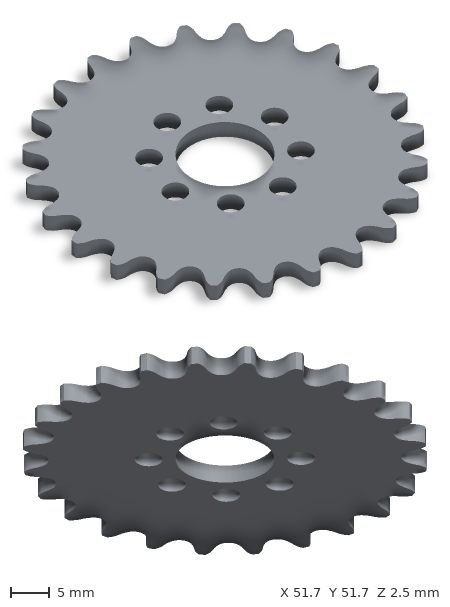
import cadquery as cq
import math

outer_size = 51.7
thickness = 2.5
tooth_count = 24

root_radius = 22.65
seat_radius = 1.7
seat_half_angle = math.radians(51.5)
working_radius = 4.25
working_angle = math.radians(19.6)
tip_arc_radius = 2.7

bore_diameter = 12.7
mount_hole_count = 8
mount_hole_diameter = 3.55
mount_circle_diameter = 19.55

tooth_angle = 2 * math.pi / tooth_count


def polar(radius, angle, center=(0, 0)):
    return (center[0] + radius * math.cos(angle), center[1] + radius * math.sin(angle))


def rotated(point, angle):
    return polar(math.hypot(*point), math.atan2(point[1], point[0]) + angle)


def mirrored(point):
    return (point[0], -point[1])


seat_contact = math.pi - seat_half_angle
working_contact = seat_contact - working_angle

seat_bottom = (root_radius, 0)
seat_center = (root_radius + seat_radius, 0)
seat_end = polar(seat_radius, seat_contact, seat_center)

working_center = polar(seat_radius - working_radius, seat_contact, seat_center)
working_middle = polar(working_radius, seat_contact - working_angle / 2, working_center)
working_end = polar(working_radius, working_contact, working_center)

tip_center = polar(tip_arc_radius, working_contact, working_end)
tip_arc_start = working_contact + math.pi
tip_arc_end = 2 * math.pi - math.acos((outer_size / 2 - tip_center[0]) / tip_arc_radius)
tip_arc_middle = polar(tip_arc_radius, (tip_arc_start + tip_arc_end) / 2, tip_center)
tip_corner = polar(tip_arc_radius, tip_arc_end, tip_center)
tip_radius = math.hypot(*tip_corner)


def make_toothed_plate():
    profile = cq.Workplane("XY").moveTo(*mirrored(seat_end))
    for index in range(tooth_count):
        valley = index * tooth_angle
        next_valley = valley + tooth_angle
        profile = (
            profile.threePointArc(rotated(seat_bottom, valley), rotated(seat_end, valley))
            .threePointArc(rotated(working_middle, valley), rotated(working_end, valley))
            .threePointArc(rotated(tip_arc_middle, valley), rotated(tip_corner, valley))
            .threePointArc(
                polar(tip_radius, valley + tooth_angle / 2),
                rotated(mirrored(tip_corner), next_valley),
            )
        )
        profile = (
            profile.threePointArc(
                rotated(mirrored(tip_arc_middle), next_valley),
                rotated(mirrored(working_end), next_valley),
            )
            .threePointArc(
                rotated(mirrored(working_middle), next_valley),
                rotated(mirrored(seat_end), next_valley),
            )
        )
    return profile.close().extrude(thickness)


def cut_bore(plate):
    return plate.faces(">Z").workplane(origin=(0, 0, 0)).hole(bore_diameter)


def cut_mount_holes(plate):
    return (
        plate.faces(">Z")
        .workplane(origin=(0, 0, 0))
        .polarArray(mount_circle_diameter / 2, 0, 360, mount_hole_count)
        .hole(mount_hole_diameter)
    )


result = cut_mount_holes(cut_bore(make_toothed_plate()))